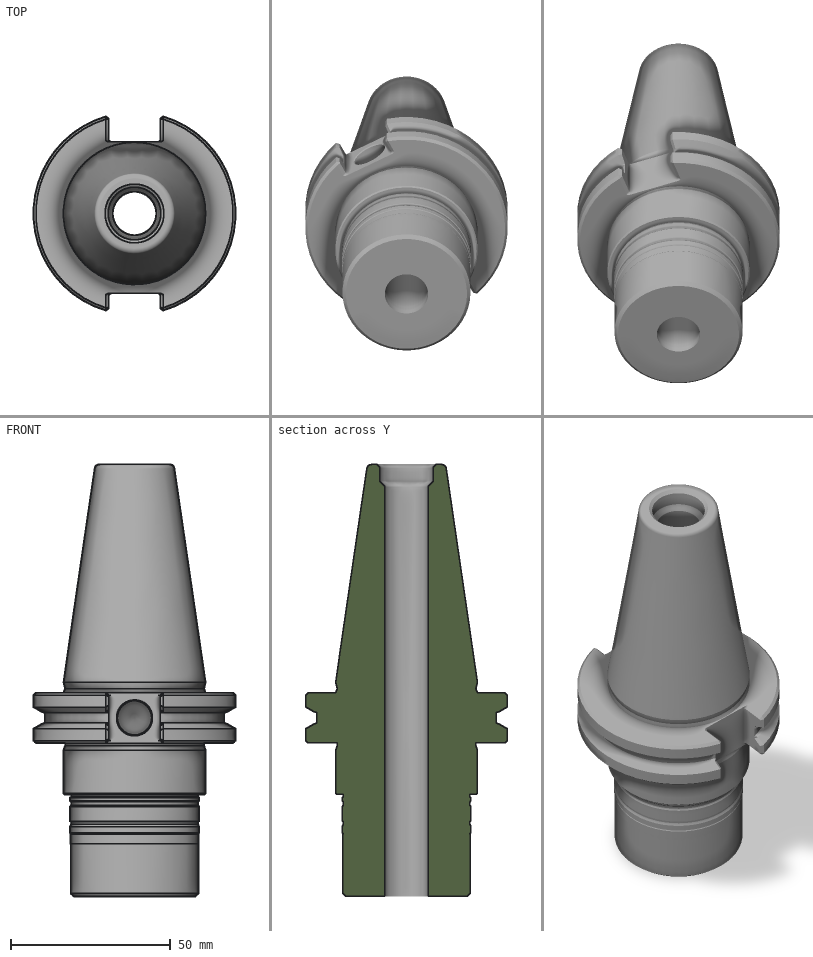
import cadquery as cq
import math

total_height = 135.2
body_bottom = 31.9
flange_bottom = 48.0
flange_top = 63.8
gauge_height = 67.1

tolerance = 0.001

nut_skirt_radius = 40.0 / 2
nut_skirt_height = 16.6
nut_base_chamfer = 1.1
nut_collar_radius = 40.2 / 2
nut_collar_top = 19.5
nut_radius = 40.5 / 2
nut_groove_radius = 19.9
nut_step_radius = nut_groove_radius
nut_step_height = 19.7
nut_edge_bevel = 0.3
nut_top = 31.2
groove_cutter_margin = 1.4
nut_grooves = [
    (21.9, 22.7, 23.4, 23.7),
    (28.1, 28.7, 29.6, 30.0),
]

body_radius = 44.5 / 2
body_chamfer = 0.4
body_shoulder = 45.8
neck_radius = 21.8
lower_neck_start = 47.2
upper_neck_end = 65.0

taper_slope = 7 / 24 / 2
tip_fillet = 1.6
tip_radius = body_radius - taper_slope * (total_height - gauge_height)

flange_radius = 31.6
flange_chamfer = 0.8
groove_radius = 28.1
groove_floor_width = 3.1
relief_width = 3.8
relief_radius = 29.1
groove_mouth_width = 6.8
groove_center = (flange_bottom + flange_top) / 2

slot_width = 16.1
slot_edge_chamfer = 1.0
slot_corner_radius = 0.7
front_slot_floor = 25.0
back_slot_floor = 22.5

dimple_diameter = 10.7
dimple_chamfer = 0.3
dimple_depth = 6.8
drill_point_angle = 118.0

bore_diameter = 13.5
counterbore_diameter = 16.5
counterbore_depth = 5.4
counterbore_chamfer = 1.0


def revolve_profile(points):
    """Revolve a closed (radius, height) outline about the Z axis."""
    return cq.Workplane("XZ").polyline(points).close().revolve(360, (0, 0, 0), (0, 1, 0))


def make_nut_groove(lower_edge, floor_start, floor_end, upper_edge):
    """Cutter for a shallow ring groove with sloped sides, given its heights along Z."""
    return revolve_profile([
        (nut_groove_radius, floor_start),
        (nut_radius, lower_edge),
        (nut_radius + groove_cutter_margin, lower_edge),
        (nut_radius + groove_cutter_margin, upper_edge),
        (nut_radius, upper_edge),
        (nut_groove_radius, floor_end),
    ])


def make_nut():
    nut = revolve_profile([
        (0, 0),
        (nut_skirt_radius - nut_base_chamfer, 0),
        (nut_skirt_radius, nut_base_chamfer),
        (nut_skirt_radius, nut_skirt_height),
        (nut_collar_radius, nut_skirt_height),
        (nut_collar_radius, nut_collar_top),
        (nut_step_radius, nut_step_height),
        (nut_radius, nut_step_height + nut_edge_bevel),
        (nut_radius, nut_top - nut_edge_bevel),
        (nut_groove_radius, nut_top),
        (nut_groove_radius, body_bottom),
        (0, body_bottom),
    ])
    for groove_heights in nut_grooves:
        nut = nut.cut(make_nut_groove(*groove_heights))
    return nut


def make_body_and_taper():
    shank = revolve_profile([
        (0, body_bottom),
        (body_radius - body_chamfer, body_bottom),
        (body_radius, body_bottom + body_chamfer),
        (body_radius, body_shoulder),
        (neck_radius, lower_neck_start),
        (neck_radius, flange_bottom),
        (body_radius, flange_top),
        (neck_radius, upper_neck_end),
        (body_radius, gauge_height),
        (tip_radius, total_height),
        (0, total_height),
    ])
    return shank.faces(">Z").edges().fillet(tip_fillet)


def make_slot(floor):
    """Plain box cutter for a slot open toward +Y."""
    height = flange_top - flange_bottom
    slot = cq.Workplane("XY").box(slot_width, flange_radius, height)
    return slot.translate((0, floor + flange_radius / 2, groove_center))


def make_flange_groove(mouth_radius, mouth_width, floor_radius, floor_width):
    """Ring cutter with sloped sides, narrowing from the mouth to the floor."""
    outside = flange_radius + groove_cutter_margin
    return revolve_profile([
        (floor_radius, groove_center - floor_width / 2),
        (mouth_radius, groove_center - mouth_width / 2),
        (outside, groove_center - mouth_width / 2),
        (outside, groove_center + mouth_width / 2),
        (mouth_radius, groove_center + mouth_width / 2),
        (floor_radius, groove_center + floor_width / 2),
    ])


def on_slot_wall(edge):
    """True for an edge lying in one of the two flat side walls of the slots."""
    box = edge.BoundingBox()
    return box.xlen < tolerance and abs(abs(box.center.x) - slot_width / 2) < tolerance


def on_slot_floor(edge):
    """True for an edge lying in one of the two slot floors."""
    box = edge.BoundingBox()
    floor_gap = min(abs(box.center.y + front_slot_floor), abs(box.center.y - back_slot_floor))
    return box.ylen < tolerance and floor_gap < tolerance


def make_flange():
    flange = cq.Workplane("XY").workplane(offset=flange_bottom)
    flange = flange.circle(flange_radius).extrude(flange_top - flange_bottom)
    flange = flange.edges().chamfer(flange_chamfer)
    flanks = make_flange_groove(flange_radius, groove_mouth_width, relief_radius, relief_width)
    flange = flange.cut(flanks)
    front_slot = make_slot(front_slot_floor).rotate((0, 0, 0), (0, 0, 1), 180)
    flange = flange.cut(front_slot).cut(make_slot(back_slot_floor))

    wall_edges = flange.edges().filter(lambda edge: on_slot_wall(edge) and not on_slot_floor(edge))
    flange = wall_edges.chamfer(slot_edge_chamfer)
    corner_edges = flange.edges("not |X").filter(on_slot_floor)
    flange = corner_edges.fillet(slot_corner_radius)

    return flange.cut(make_flange_groove(relief_radius, relief_width, groove_radius, groove_floor_width))


def make_dimple():
    radius = dimple_diameter / 2
    tip_depth = dimple_depth + radius / math.tan(math.radians(drill_point_angle / 2))
    drill = revolve_profile([
        (0, 0),
        (radius + dimple_chamfer, 0),
        (radius, dimple_chamfer),
        (radius, dimple_depth),
        (0, tip_depth),
    ])
    drill = drill.rotate((0, 0, 0), (1, 0, 0), -90)
    return drill.translate((0, -front_slot_floor, groove_center))


def make_bore():
    bore_radius = bore_diameter / 2
    counterbore_radius = counterbore_diameter / 2
    ledge = total_height - counterbore_depth
    return revolve_profile([
        (0, 0),
        (bore_radius, 0),
        (bore_radius, ledge - (counterbore_radius - bore_radius)),
        (counterbore_radius, ledge),
        (counterbore_radius, total_height - counterbore_chamfer),
        (counterbore_radius + counterbore_chamfer, total_height),
        (0, total_height),
    ])


solid_holder = make_nut().union(make_body_and_taper()).union(make_flange())
result = solid_holder.cut(make_dimple()).cut(make_bore())